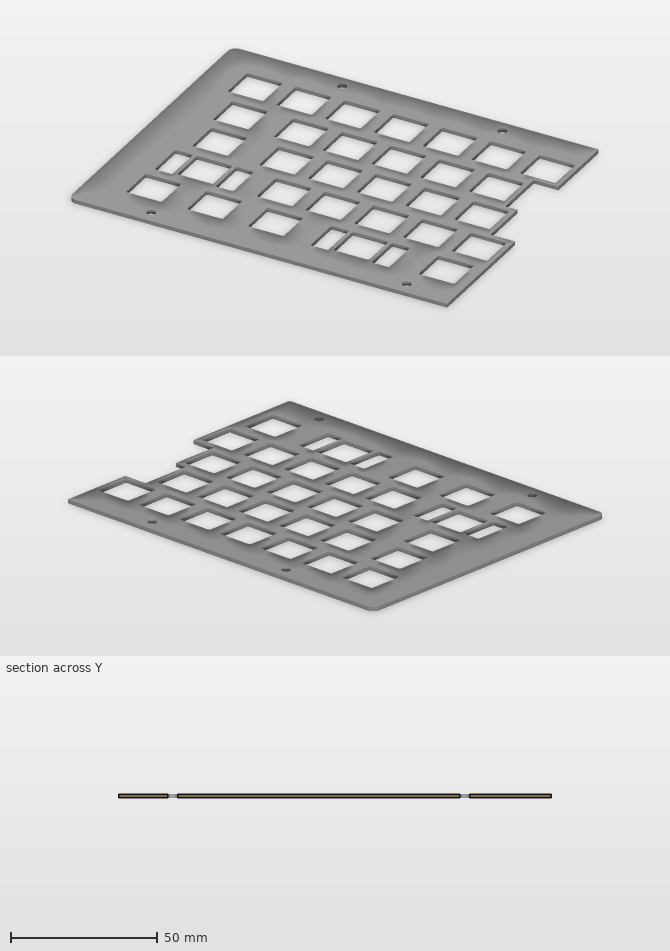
import cadquery as cq

length = 148.0
width = 116.2
thickness = 1.5
corner_radius = 3.0

back_row_keys = 7
back_row_span = 114.3
key_pitch = back_row_span / (back_row_keys - 1)
switch_gap = 5.0
switch_size = key_pitch - switch_gap
cutout_radius = 0.5
left_margin = 20.0
end_wall = 1.9
row_wall = 2.0
back_row_wall = 1.6

steps_per_key = 8


def key_run(first, count):
    return [first + index * steps_per_key for index in range(count)]


row_columns = [
    key_run(0, back_row_keys),
    [2] + key_run(12, 5),
    [3] + key_run(14, 5),
    [5] + key_run(18, 5),
    [1, 11, 21, 35, 49],
]

wide_keys = [(3, 5), (4, 35)]
stabilizer_width = 7.0
stabilizer_height = 15.0
stabilizer_spacing = 23.8

hole_diameter = 3.4
hole_inset = 5.0
back_hole_x = [45.8, 108.4]
front_hole_x = [29.6, 129.5]


def key_x(column):
    return left_margin + column * key_pitch / steps_per_key


def key_y(row):
    return width / 2 + ((len(row_columns) - 1) / 2 - row) * key_pitch


def row_end(row):
    return key_x(row_columns[row][-1]) + switch_size / 2 + end_wall


def cutout(x, y, size_x, size_y):
    return (
        cq.Workplane("XY")
        .center(x, y)
        .rect(size_x, size_y)
        .extrude(thickness)
        .edges("|Z")
        .fillet(cutout_radius)
    )


def make_plate():
    half_row = switch_size / 2 + row_wall
    first_step = key_y(0) - switch_size / 2 - back_row_wall
    second_step = key_y(2) + half_row
    third_step = key_y(3) + half_row
    outline = [
        (0, 0),
        (length, 0),
        (length, third_step),
        (row_end(2), third_step),
        (row_end(2), second_step),
        (row_end(1), second_step),
        (row_end(1), first_step),
        (row_end(0), first_step),
        (row_end(0), width),
        (0, width),
    ]
    plate = cq.Workplane("XY").polyline(outline).close().extrude(thickness)
    return plate.edges("|Z and <X").fillet(corner_radius)


def cut_switches(plate):
    for row, columns in enumerate(row_columns):
        for column in columns:
            plate = plate.cut(cutout(key_x(column), key_y(row), switch_size, switch_size))
    return plate


def cut_stabilizers(plate):
    drop = (stabilizer_height - switch_size) / 2
    for row, column in wide_keys:
        for side in (-1, 1):
            x = key_x(column) + side * stabilizer_spacing / 2
            y = key_y(row) - drop
            plate = plate.cut(cutout(x, y, stabilizer_width, stabilizer_height))
    return plate


def cut_mounting_holes(plate):
    centres = [(x, width - hole_inset) for x in back_hole_x]
    centres += [(x, hole_inset) for x in front_hole_x]
    holes = cq.Workplane("XY").pushPoints(centres).circle(hole_diameter / 2).extrude(thickness)
    return plate.cut(holes)


result = cut_mounting_holes(cut_stabilizers(cut_switches(make_plate())))